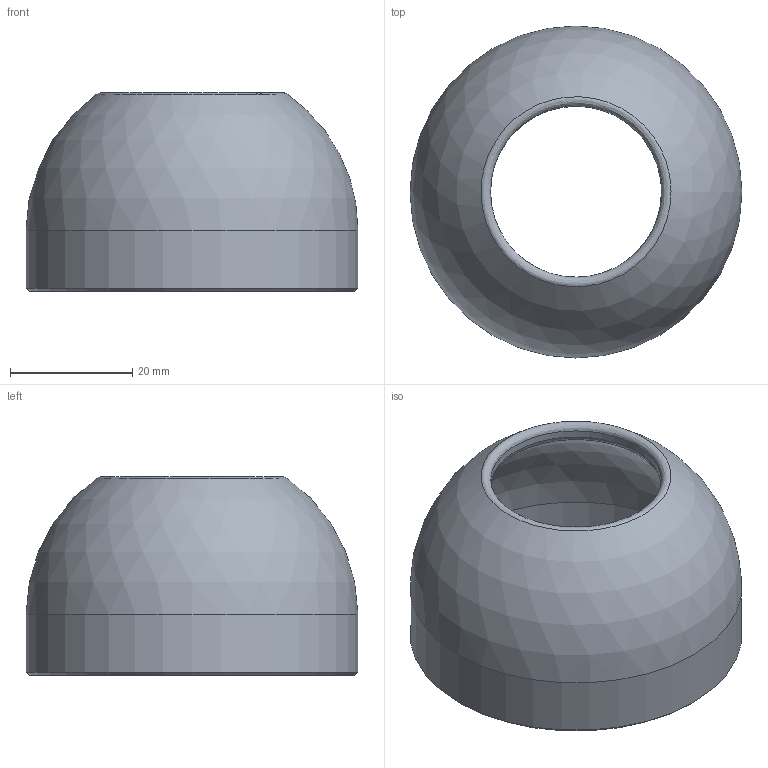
import cadquery as cq
import math

outer_diameter = 54.4
inner_diameter = 48.4
opening_diameter = 28.0
skirt_height = 10.0
opening_fillet = 1.0
base_chamfer = 0.5
selection_margin = 0.05

outer_radius = outer_diameter / 2
inner_radius = inner_diameter / 2
opening_radius = opening_diameter / 2


def sphere_height(sphere_radius, radius):
    """Height of the dome sphere at a distance from the axis."""
    return skirt_height + math.sqrt(sphere_radius**2 - radius**2)


def dome_solid(radius):
    """Cylindrical skirt closed by a hemisphere of the same radius, standing on Z = 0."""
    apex = (0, skirt_height + radius)
    middle = (radius * math.cos(math.pi / 4), skirt_height + radius * math.sin(math.pi / 4))
    profile = (
        cq.Workplane("XZ")
        .lineTo(radius, 0)
        .lineTo(radius, skirt_height)
        .threePointArc(middle, apex)
        .close()
    )
    return profile.revolve(360, (0, 0, 0), (0, 1, 0))


def edge_box(radius, height):
    """Selector for the circular edge of a given radius and height, centred on the axis."""
    reach = radius + selection_margin
    lower_corner = (-reach, -reach, height - selection_margin)
    upper_corner = (reach, reach, height + selection_margin)
    return cq.selectors.BoxSelector(lower_corner, upper_corner, boundingbox=True)


def hollow_dome():
    """Dome shell, open at the base, with the round opening through its top."""
    opening = cq.Workplane("XY").circle(opening_radius).extrude(skirt_height + outer_radius)
    return dome_solid(outer_radius).cut(dome_solid(inner_radius)).cut(opening)


def finish_edges(shell):
    """Round both edges of the opening and chamfer the base's outer edge."""
    outer_rim = edge_box(opening_radius, sphere_height(outer_radius, opening_radius))
    inner_rim = edge_box(opening_radius, sphere_height(inner_radius, opening_radius))
    shell = shell.edges(outer_rim).fillet(opening_fillet)
    shell = shell.edges(inner_rim).fillet(opening_fillet)
    return shell.faces("<Z").edges(cq.selectors.RadiusNthSelector(-1)).chamfer(base_chamfer)


result = finish_edges(hollow_dome())